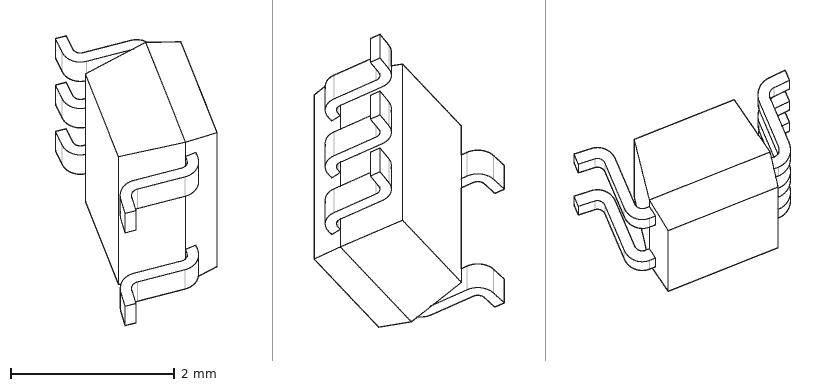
import cadquery as cq
import math

span_x = 2.8
depth_y = 1.4
back_y = depth_y / 2
seat_y = -depth_y / 2

body_width = 1.6
body_height = 2.9
body_draft = 9.5
parting_y = 0.27
standoff = 0.15
front_y = seat_y + standoff

lead_thickness = 0.14
lead_width = 0.4
lead_pitch = 0.955
inner_radius = 0.1
outer_radius = inner_radius + lead_thickness
foot_slope = math.radians(4)
shank_outer_x = 1.093
shank_inner_x = shank_outer_x - lead_thickness
tip_x = span_x / 2


def body_half(end_y):
    """Drafted half of the body, from the parting plane to end_y."""
    direction = 1 if end_y > parting_y else -1
    plane = cq.Plane(origin=(0, parting_y, 0), xDir=(1, 0, 0), normal=(0, direction, 0))
    return (
        cq.Workplane(plane)
        .rect(body_width, body_height)
        .extrude(abs(end_y - parting_y), taper=body_draft)
    )


def bend_point(center, radius, angle):
    """Point on a bend, with the angle in radians from +X toward +Y."""
    return (center[0] + radius * math.cos(angle), center[1] + radius * math.sin(angle))


def make_lead(side, z):
    """Gull-wing lead on the +X (side = 1) or -X (side = -1) flank, centred at height z."""
    root_bottom = (body_width / 2, parting_y)
    root_top_y = parting_y + lead_thickness
    root_top = (body_width / 2 - lead_thickness * math.tan(math.radians(body_draft)), root_top_y)

    shoulder = (shank_inner_x - inner_radius, parting_y - inner_radius)

    ankle_x = shank_outer_x + inner_radius
    foot_angle = -math.pi / 2 - foot_slope
    sole_x = ankle_x + outer_radius * math.cos(foot_angle)
    sole_y = seat_y + (tip_x - sole_x) * math.tan(foot_slope)
    ankle = (ankle_x, sole_y - outer_radius * math.sin(foot_angle))
    ankle_middle = (foot_angle - math.pi) / 2
    tip_height = lead_thickness / math.cos(foot_slope)

    outline = (
        cq.Workplane("XY")
        .moveTo(*root_top)
        .lineTo(shoulder[0], root_top_y)
        .threePointArc(
            bend_point(shoulder, outer_radius, math.pi / 4),
            (shank_outer_x, shoulder[1]),
        )
        .lineTo(shank_outer_x, ankle[1])
        .threePointArc(
            bend_point(ankle, inner_radius, ankle_middle),
            bend_point(ankle, inner_radius, foot_angle),
        )
        .lineTo(tip_x, seat_y + tip_height)
        .lineTo(tip_x, seat_y)
        .lineTo(*bend_point(ankle, outer_radius, foot_angle))
        .threePointArc(
            bend_point(ankle, outer_radius, ankle_middle),
            (shank_inner_x, ankle[1]),
        )
        .lineTo(shank_inner_x, shoulder[1])
        .threePointArc(
            bend_point(shoulder, inner_radius, math.pi / 4),
            (shoulder[0], parting_y),
        )
        .lineTo(*root_bottom)
        .close()
    )
    lead = outline.extrude(lead_width / 2, both=True)
    if side < 0:
        lead = lead.mirror("YZ")
    return lead.translate((0, 0, z))


body = body_half(back_y).union(body_half(front_y))

lead_places = [(-1, -1), (-1, 0), (-1, 1), (1, -1), (1, 1)]
leads = [make_lead(side, row * lead_pitch) for side, row in lead_places]

result = cq.Compound.makeCompound([body.val(), *[lead.val() for lead in leads]])